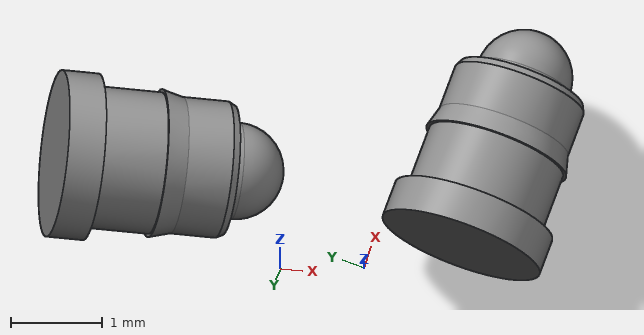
import cadquery as cq
import math

flange_radius = 0.915
flange_length = 0.406
body_radius = 0.777
barb_start = 1.12
barb_radius = 0.813
barb_length = 0.234
nose_radius = 0.75
nose_end = 1.933
chamfer_length = 0.075
chamfer_depth = 0.038
plunger_radius = 0.53
overall_length = 2.54

barb_end = barb_start + barb_length
dome_center = overall_length - plunger_radius
dome_mid = plunger_radius * math.sqrt(0.5)

profile = (
    cq.Workplane("XY")
    .moveTo(0, 0)
    .lineTo(0, flange_radius)
    .lineTo(flange_length, flange_radius)
    .lineTo(flange_length, body_radius)
    .lineTo(barb_start, body_radius)
    .lineTo(barb_start, barb_radius)
    .lineTo(barb_end, nose_radius)
    .lineTo(nose_end - chamfer_length, nose_radius)
    .lineTo(nose_end, nose_radius - chamfer_depth)
    .lineTo(nose_end, plunger_radius)
    .lineTo(dome_center, plunger_radius)
    .threePointArc((dome_center + dome_mid, dome_mid), (overall_length, 0))
    .close()
)

result = profile.revolve(360, (0, 0, 0), (1, 0, 0))